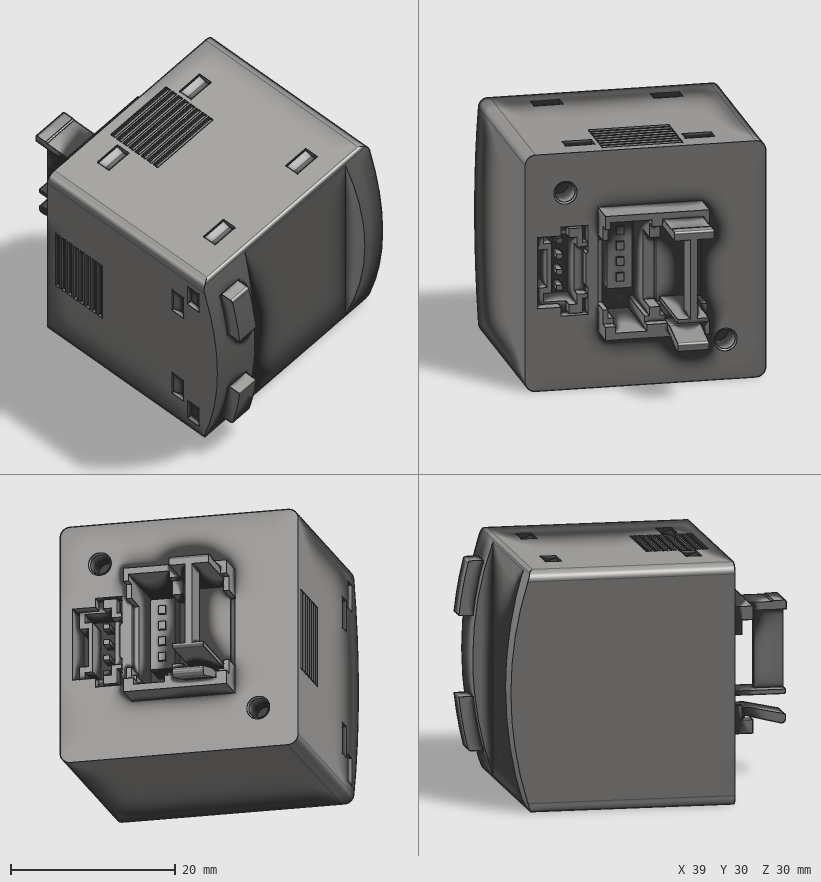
import cadquery as cq
import math


SIDE = 30.0
HALF = SIDE / 2
CORNER_RADIUS = 1.3
REAR_APEX = 27.85
REAR_RADIUS = 45.6
REAR_CENTRE = REAR_APEX - REAR_RADIUS
REAR_EDGE_ROUND = 0.5

CHANNEL_FLOOR = 25.5
CHANNEL_FLOOR_Y = (-7.35, 10.88)
CHANNEL_MOUTH_Y = (-8.22, 11.77)

LATCH_RISE = 1.7
LATCH_Y = (-12.55, -9.6)
LATCH_SLOT_Y = (-12.85, -9.35)
LATCH_Z = (5.03, 11.77)
LATCH_SLOT_FLOOR = 26.27
LATCH_TOP_ROUND = 0.4
LATCH_INNER_ROUND = 0.08

GROOVE_COUNT = 8
GROOVE_PITCH = 0.995
GROOVE_START = 1.33
GROOVE_WIDTH = 0.75
GROOVE_FLOOR = 0.2
GROOVE_DEPTH = 0.4
GROOVE_SPAN = (-4.95, 5.05)

WINDOW_DEPTH = 0.62
WINDOW_TILT = 0.3
WINDOW_LENGTH = 1.9
WINDOW_SLOPE = 1.0
TOP_WINDOW_X = (3.0, 20.4)
TOP_WINDOW_Y = (5.65, 9.28)
SIDE_WINDOW_X = 20.4
SIDE_WINDOW_Z = (6.05, 9.98)
REAR_WINDOW_X = 22.92
REAR_WINDOW_SLOPE = 0.45
REAR_WINDOW_TILT = 0.08
REAR_WINDOW_WALL = 0.27
REAR_WINDOW_Z = (9.3, 12.75)

SCREW_DIAMETER = 2.45
SCREW_MOUTH_DIAMETER = 2.9
SCREW_DEPTH = 3.9
SCREW_OFFSET = 9.98

FRAME_Y = (-7.05, 5.92)
FRAME_HALF_HEIGHT = 7.87
FRAME_LIP_Z = 6.2
FRAME_STEP_Z = 4.4
FRAME_LIP_REACH = 4.05
FRAME_STEP_REACH = 2.7
FRAME_FLOOR = 0.78

PORT_DEPTH = 6.25
PORT_WIDTH = 5.15
PORT_Z = (-5.5, 7.05)
PORT_SLOT_WIDTH = 3.9
PORT_SLOT_BOTTOM = -7.0
OPEN_PORT_Y = 2.7
PLUG_PORT_Y = -3.8

BLOCK_Y = (1.15, 4.25)
BLOCK_Z = (-3.27, 5.65)
BLOCK_HEIGHT = 3.9
CONTACT_PITCH = 2.0
CONTACT_COUNT = 4
CONTACT_WIDTH = 0.9
CONTACT_HEIGHT = 1.0
CONTACT_REACH = 0.4

HEADER_DEPTH = 5.45
HEADER_FACE = 1.68
HEADER_Y = (8.55, 13.45)
HEADER_HALF_HEIGHT = 4.52
SHROUD_OUTER_Y = 13.0
SHROUD_INNER_Y = 12.3
SHROUD_INNER_HALF = 4.25
KEY_OUTER_Y = 11.9
KEY_OUTER_HALF = 2.4
KEY_INNER_Y = 11.35
KEY_INNER_HALF = 3.15
SHOULDER_Y = (7.17, 10.52)
SHOULDER_HALF_HEIGHT = 5.65
SHOULDER_NOTCH_Y = 7.45
SHOULDER_NOTCH_HALF = (2.05, 2.3)
LUG_OUTER_Y = 9.55
LUG_INNER_Y = 7.85
LUG_FOOT_Y = 7.25
LUG_TOP = 5.38
LUG_FOOT_Z = (3.0, 3.55)
HEADER_PIN_Y = 10.0
HEADER_PIN_WIDTH = 0.78
HEADER_PIN_HEIGHT = 0.62
HEADER_PIN_LENGTH = 2.35

PLUG_TIP = -9.7
PLUG_Y = (-6.35, -1.4)
PLUG_TOP = 6.9
TOP_PLATE_BOTTOM = 5.92
TIP_RIDGE_HEIGHT = 0.1
TIP_RIDGE_LENGTH = 1.6
TIP_RIDGE_SLOPE = 0.25
TIP_ROUND = 0.27
BOTTOM_PLATE_Z = (-4.65, -4.1)
LEVER_Y = (-5.7, -1.85)
GRIP_Y = (-4.25, -3.4)
GRIP_LENGTH = 3.63
PLUG_BODY_START = 0.45
BEND_START = 2.35
BEND_BOTTOM = -5.8
BEND_UPPER_RADIUS = 0.65
BEND_LOWER_RADIUS = 0.43
CATCH_X = -1.95
LEVER_TOP = -6.2
LEVER_KINK_TOP = -5.2
LEVER_KINK_BOTTOM = -4.15
LEVER_TIP_TOP = -7.17
LEVER_TIP_BOTTOM = -8.42
LEVER_TIP_TOP_ROUND = 0.3
LEVER_TIP_BOTTOM_ROUND = 0.55


def box(x_range, y_range, z_range):
    """Block between two X, two Y and two Z values."""
    (x0, x1), (y0, y1), (z0, z1) = x_range, y_range, z_range
    return cq.Workplane("XY").box(x1 - x0, y1 - y0, z1 - z0, centered=False).translate((x0, y0, z0))


def around(middle, size):
    """Range of a given size about a middle value."""
    return (middle - size / 2, middle + size / 2)


def profile_in_xz(points, y_range):
    """Closed XZ outline carried along Y."""
    y0, y1 = y_range
    return cq.Workplane("XZ", origin=(0, y1, 0)).polyline(points).close().extrude(y1 - y0)


def outline_in_yz(points, x_range):
    """Closed YZ outline carried along X."""
    x0, x1 = x_range
    return cq.Workplane("YZ", origin=(x0, 0, 0)).polyline(points).close().extrude(x1 - x0)


def mirrored_in_z(shape):
    return shape.union(shape.mirror("XY"))


def on_side_face(points, z_range):
    """Cutter for the -Y face: outline of X and depth, carried along Z."""
    z0, z1 = z_range
    outline = [(x, depth - HALF) for x, depth in points]
    return cq.Workplane("XY", origin=(0, 0, z0)).polyline(outline).close().extrude(z1 - z0)


def on_top_face(points, y_range):
    """Cutter for the +Z face: outline of X and depth, carried along Y."""
    return profile_in_xz([(x, HALF - depth) for x, depth in points], y_range)


def rear_x(z, rise=0.0):
    """X of the rear arc, or of an arc concentric with it, at height z."""
    return REAR_CENTRE + math.sqrt((REAR_RADIUS + rise) ** 2 - z ** 2)


def make_shell():
    prism = (
        cq.Workplane("YZ").rect(SIDE, SIDE).extrude(REAR_APEX)
        .edges("|X").fillet(CORNER_RADIUS)
    )
    edge_x = rear_x(HALF)
    arc_profile = (
        cq.Workplane("XZ", origin=(0, HALF, 0))
        .moveTo(0, -HALF).lineTo(edge_x, -HALF)
        .threePointArc((REAR_APEX, 0), (edge_x, HALF))
        .lineTo(0, HALF).close().extrude(SIDE)
        .edges("|Y").edges(">X").fillet(REAR_EDGE_ROUND)
    )
    return prism.intersect(arc_profile)


def make_rear_channel():
    (floor_low, floor_high), (mouth_low, mouth_high) = CHANNEL_FLOOR_Y, CHANNEL_MOUTH_Y
    return (
        cq.Workplane("XY", origin=(0, 0, -HALF))
        .polyline([
            (CHANNEL_FLOOR, floor_low), (CHANNEL_FLOOR, floor_high),
            (REAR_APEX, mouth_high), (REAR_APEX, mouth_low),
        ]).close().extrude(SIDE)
    )


def make_latch():
    low, high = LATCH_Z
    middle = (low + high) / 2
    width = LATCH_Y[1] - LATCH_Y[0]
    return (
        cq.Workplane("XZ", origin=(0, LATCH_Y[1], 0))
        .moveTo(LATCH_SLOT_FLOOR, low).lineTo(rear_x(low, LATCH_RISE), low)
        .threePointArc((rear_x(middle, LATCH_RISE), middle), (rear_x(high, LATCH_RISE), high))
        .lineTo(LATCH_SLOT_FLOOR, high).close().extrude(width)
        .edges("|Y").edges(">X").fillet(LATCH_INNER_ROUND)
        .edges("|Y").edges(">Z").edges(">X").fillet(LATCH_TOP_ROUND)
    )


def make_groove_outline(index):
    start = GROOVE_START + index * GROOVE_PITCH
    return [
        (start, 0), (start, GROOVE_DEPTH),
        (start + GROOVE_FLOOR, GROOVE_DEPTH), (start + GROOVE_WIDTH, 0),
    ]


def cut_grooves(housing):
    for index in range(GROOVE_COUNT):
        outline = make_groove_outline(index)
        housing = housing.cut(on_side_face(outline, GROOVE_SPAN))
        housing = housing.cut(on_top_face(outline, GROOVE_SPAN))
    return housing


def make_window_outline(start):
    end = start + WINDOW_LENGTH
    return [
        (start, 0), (start, WINDOW_DEPTH - WINDOW_TILT),
        (start + WINDOW_SLOPE, WINDOW_DEPTH), (end, WINDOW_DEPTH), (end, 0),
    ]


def make_rear_window_outline():
    start = REAR_WINDOW_X
    end = start + WINDOW_LENGTH
    return [
        (start, 0), (start, WINDOW_DEPTH + REAR_WINDOW_TILT), (start + REAR_WINDOW_SLOPE, WINDOW_DEPTH),
        (end - REAR_WINDOW_WALL, WINDOW_DEPTH), (end, 0),
    ]


def cut_windows(housing):
    for start in TOP_WINDOW_X:
        window = on_top_face(make_window_outline(start), TOP_WINDOW_Y)
        housing = housing.cut(window).cut(window.mirror("XZ"))
    side_window = on_side_face(make_window_outline(SIDE_WINDOW_X), SIDE_WINDOW_Z)
    rear_window = on_side_face(make_rear_window_outline(), REAR_WINDOW_Z)
    return housing.cut(mirrored_in_z(side_window)).cut(mirrored_in_z(rear_window))


def make_screw_hole(y, z):
    mouth_chamfer = (SCREW_MOUTH_DIAMETER - SCREW_DIAMETER) / 2
    start = cq.Workplane("YZ").center(y, z)
    mouth = start.circle(SCREW_MOUTH_DIAMETER / 2).workplane(offset=mouth_chamfer)
    cone = mouth.circle(SCREW_DIAMETER / 2).loft()
    return start.circle(SCREW_DIAMETER / 2).extrude(SCREW_DEPTH).union(cone)


def make_frame():
    upper = profile_in_xz(
        [
            (0, FRAME_STEP_Z), (-FRAME_STEP_REACH, FRAME_STEP_Z), (-FRAME_STEP_REACH, FRAME_LIP_Z),
            (-FRAME_LIP_REACH, FRAME_LIP_Z), (-FRAME_LIP_REACH, FRAME_HALF_HEIGHT),
            (0, FRAME_HALF_HEIGHT),
        ],
        FRAME_Y,
    )
    return mirrored_in_z(upper)


def make_frame_recess():
    return box((0, FRAME_FLOOR), FRAME_Y, (-FRAME_STEP_Z, FRAME_STEP_Z))


def make_port(middle_y):
    depth = (-FRAME_LIP_REACH, PORT_DEPTH)
    opening = box(depth, around(middle_y, PORT_WIDTH), PORT_Z)
    slot = box(depth, around(middle_y, PORT_SLOT_WIDTH), (PORT_SLOT_BOTTOM, PORT_Z[0]))
    return opening.union(slot)


def add_contact_block(housing):
    face = PORT_DEPTH - BLOCK_HEIGHT
    housing = housing.union(box((face, PORT_DEPTH), BLOCK_Y, BLOCK_Z))
    middle_z = sum(BLOCK_Z) / 2
    for index in range(CONTACT_COUNT):
        z = middle_z + (index - (CONTACT_COUNT - 1) / 2) * CONTACT_PITCH
        contact = box(
            (face - CONTACT_REACH, face),
            around(sum(BLOCK_Y) / 2, CONTACT_WIDTH),
            around(z, CONTACT_HEIGHT),
        )
        housing = housing.union(contact)
    return housing


def make_shoulder_recess():
    (low_y, high_y), height = SHOULDER_Y, SHOULDER_HALF_HEIGHT
    notch_near, notch_far = SHOULDER_NOTCH_HALF
    return outline_in_yz(
        [
            (high_y, -height), (low_y, -height), (low_y, -notch_far), (SHOULDER_NOTCH_Y, -notch_near),
            (SHOULDER_NOTCH_Y, notch_near), (low_y, notch_far), (low_y, height), (high_y, height),
        ],
        (0, HEADER_FACE),
    )


def make_lug():
    """Bent lug that wraps an outer corner of the shroud, flush with the front face."""
    foot_low, foot_high = LUG_FOOT_Z
    shroud_y = HEADER_Y[0]
    return outline_in_yz(
        [
            (LUG_OUTER_Y, SHROUD_INNER_HALF), (LUG_OUTER_Y, LUG_TOP), (LUG_INNER_Y, LUG_TOP),
            (LUG_INNER_Y, foot_high), (LUG_FOOT_Y, foot_high), (LUG_FOOT_Y, foot_low),
            (shroud_y, foot_low), (shroud_y, SHROUD_INNER_HALF),
        ],
        (0, HEADER_FACE),
    )


def make_header_recess():
    """Pocket that leaves the shroud wall, with its inward key, standing around a cavity."""
    full = (-HEADER_HALF_HEIGHT, HEADER_HALF_HEIGHT)
    face = (0, HEADER_FACE)
    depth = (0, HEADER_DEPTH)
    inner = (-SHROUD_INNER_HALF, SHROUD_INNER_HALF)
    key_outer = (-KEY_OUTER_HALF, KEY_OUTER_HALF)
    entry = box(face, HEADER_Y, full)
    gap = box(depth, (SHROUD_OUTER_Y, HEADER_Y[1]), full)
    key_gap = box(depth, (KEY_OUTER_Y, SHROUD_OUTER_Y), key_outer)
    cavity = box(depth, (HEADER_Y[0], SHROUD_INNER_Y), inner).cut(
        box(depth, (KEY_INNER_Y, SHROUD_INNER_Y), (-KEY_INNER_HALF, KEY_INNER_HALF))
    )
    return entry.union(gap).union(key_gap).union(cavity)


def add_header_pins(housing):
    for index in range(CONTACT_COUNT):
        z = (index - (CONTACT_COUNT - 1) / 2) * CONTACT_PITCH
        pin = box(
            (HEADER_DEPTH - HEADER_PIN_LENGTH, HEADER_DEPTH),
            around(HEADER_PIN_Y, HEADER_PIN_WIDTH),
            around(z, HEADER_PIN_HEIGHT),
        )
        housing = housing.union(pin)
    return housing


def make_housing():
    housing = make_shell().cut(make_rear_channel())
    latch_slot = box((LATCH_SLOT_FLOOR, REAR_APEX), LATCH_SLOT_Y, LATCH_Z)
    housing = housing.cut(mirrored_in_z(latch_slot))
    housing = housing.union(make_latch()).union(make_latch().mirror("XY"))
    housing = cut_windows(cut_grooves(housing))
    housing = housing.cut(make_screw_hole(SCREW_OFFSET, SCREW_OFFSET))
    housing = housing.cut(make_screw_hole(-SCREW_OFFSET, -SCREW_OFFSET))
    housing = housing.union(make_frame()).cut(make_frame_recess())
    housing = housing.cut(make_port(OPEN_PORT_Y)).cut(make_port(PLUG_PORT_Y))
    housing = add_contact_block(housing)
    housing = housing.cut(make_shoulder_recess()).cut(make_header_recess())
    housing = housing.union(make_lug()).union(make_lug().mirror("XY"))
    return add_header_pins(housing)


def make_top_plate():
    ridge_top = PLUG_TOP + TIP_RIDGE_HEIGHT
    ridge_end = PLUG_TIP + TIP_RIDGE_LENGTH
    plate = profile_in_xz(
        [
            (PLUG_TIP, TOP_PLATE_BOTTOM), (PLUG_TIP, ridge_top), (ridge_end, ridge_top),
            (ridge_end + TIP_RIDGE_SLOPE, PLUG_TOP), (PORT_DEPTH, PLUG_TOP),
            (PORT_DEPTH, TOP_PLATE_BOTTOM),
        ],
        PLUG_Y,
    )
    return plate.edges("|Y").edges("<X").edges(">Z").fillet(TIP_ROUND)


def make_lever():
    """Sprung lever that turns back under the bottom plate and slopes down to its tip."""
    bend_top = BOTTOM_PLATE_Z[0]
    bend_end = BEND_START + BEND_UPPER_RADIUS
    width = LEVER_Y[1] - LEVER_Y[0]
    lever = (
        cq.Workplane("XZ", origin=(0, LEVER_Y[1], 0))
        .moveTo(PORT_DEPTH, bend_top).lineTo(BEND_START, bend_top)
        .radiusArc((bend_end, bend_top - BEND_UPPER_RADIUS), BEND_UPPER_RADIUS)
        .lineTo(bend_end, BEND_BOTTOM + BEND_LOWER_RADIUS)
        .radiusArc((bend_end - BEND_LOWER_RADIUS, BEND_BOTTOM), BEND_LOWER_RADIUS)
        .lineTo(CATCH_X, BEND_BOTTOM).lineTo(CATCH_X, LEVER_TOP)
        .lineTo(LEVER_KINK_TOP, LEVER_TOP).lineTo(PLUG_TIP, LEVER_TIP_TOP)
        .lineTo(PLUG_TIP, LEVER_TIP_BOTTOM).lineTo(LEVER_KINK_BOTTOM, PORT_SLOT_BOTTOM)
        .lineTo(PORT_DEPTH, PORT_SLOT_BOTTOM).close().extrude(width)
    )
    lever = lever.edges("|Y").edges("<X").edges(">Z").fillet(LEVER_TIP_TOP_ROUND)
    return lever.edges("|Y").edges("<Z").fillet(LEVER_TIP_BOTTOM_ROUND)


def make_plug():
    bottom_plate = box((PLUG_TIP, PORT_DEPTH), LEVER_Y, BOTTOM_PLATE_Z)
    bottom_plate = bottom_plate.edges("|Y").edges("<X").edges("<Z").fillet(TIP_ROUND)
    grip = box((PLUG_TIP, PLUG_TIP + GRIP_LENGTH), GRIP_Y, (BOTTOM_PLATE_Z[1], TOP_PLATE_BOTTOM))
    body = box((PLUG_BODY_START, PORT_DEPTH), PLUG_Y, (BOTTOM_PLATE_Z[0], TOP_PLATE_BOTTOM))
    return make_top_plate().union(body).union(grip).union(bottom_plate).union(make_lever())


housing = make_housing()
plug = make_plug()
result = cq.Compound.makeCompound([housing.val(), plug.val()])